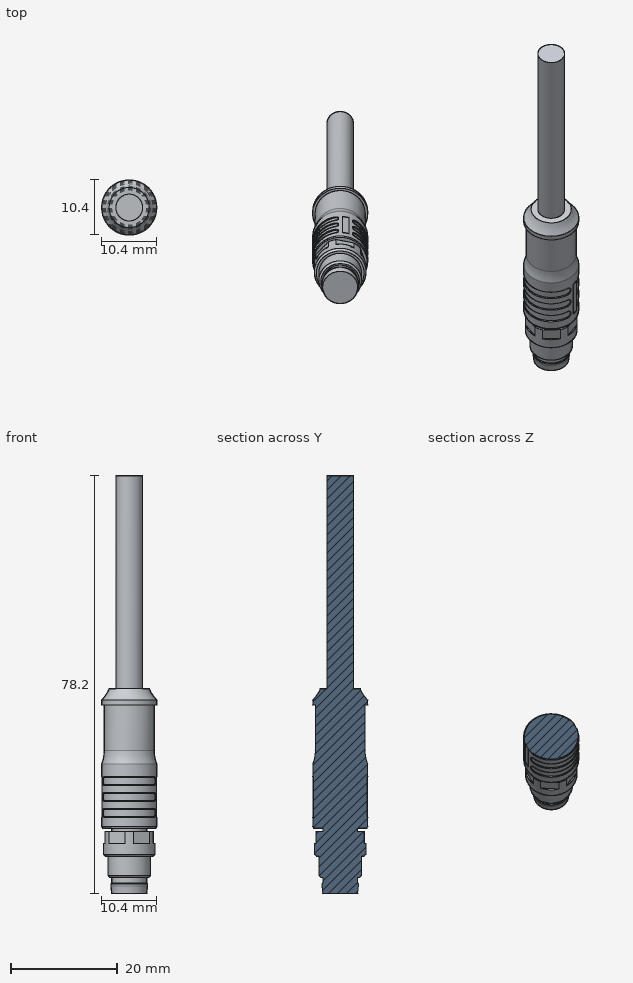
import cadquery as cq
import math

total_length = 78.2

tip_radius = 3.45
tip_taper = 0.15
tip_taper_height = 1.4
tip_lip_height = 1.8
tip_lip_chamfer = 0.15
neck_radius = 3.3
sleeve_radius = 4.0
sleeve_bottom = 3.0
sleeve_chamfer = 0.4

nut_radius = 4.85
nut_bottom = 6.95
nut_chamfer = 0.4
nut_top = 11.65
flat_count = 6
flat_bottom = 9.4
flat_distance = 4.5

grip_radius = 5.2
grip_bottom = 12.2
grip_edge_height = 0.3
grip_edge_inset = 0.15
grip_top = 24.25
barrel_radius = 4.7
barrel_bottom = 26.75
barrel_top = 35.3
collar_shoulder = 36.2
collar_top = 38.3
collar_top_radius = 3.75
collar_flare_sag = 0.12

cable_radius = 2.5

groove_count = 3
groove_height = 1.65
groove_pitch = 3.0
groove_depth = 0.15
groove_wall_run = 0.15
groove_end_gap = 1.3
top_groove_middle = 21.0
recess_width = 1.25
recess_depth = 0.1

cut_margin = 0.8


def revolve_body():
    """Turn the whole connector from its half profile (radius, height)."""
    flare_height = barrel_bottom - grip_top
    flare_step = grip_radius - barrel_radius
    flare_radius = (flare_height**2 + flare_step**2) / (2 * flare_step)
    flare_middle = (
        barrel_radius + flare_radius - math.sqrt(flare_radius**2 - (flare_height / 2) ** 2),
        (grip_top + barrel_bottom) / 2,
    )

    slope_run = grip_radius - collar_top_radius
    slope_rise = collar_top - collar_shoulder
    slope_length = math.hypot(slope_run, slope_rise)
    collar_middle = (
        (grip_radius + collar_top_radius) / 2 - collar_flare_sag * slope_rise / slope_length,
        (collar_shoulder + collar_top) / 2 - collar_flare_sag * slope_run / slope_length,
    )

    profile = (
        cq.Workplane("XZ")
        .lineTo(tip_radius - tip_taper, 0)
        .lineTo(tip_radius, tip_taper_height)
        .lineTo(tip_radius, tip_lip_height)
        .lineTo(neck_radius, tip_lip_height + tip_lip_chamfer)
        .lineTo(neck_radius, sleeve_bottom)
        .lineTo(sleeve_radius - sleeve_chamfer, sleeve_bottom)
        .lineTo(sleeve_radius, sleeve_bottom + sleeve_chamfer)
        .lineTo(sleeve_radius, nut_bottom)
        .lineTo(nut_radius - nut_chamfer, nut_bottom)
        .lineTo(nut_radius, nut_bottom + nut_chamfer)
        .lineTo(nut_radius, nut_top)
        .lineTo(neck_radius, nut_top)
        .lineTo(neck_radius, grip_bottom)
        .lineTo(grip_radius - grip_edge_inset, grip_bottom)
        .lineTo(grip_radius, grip_bottom + grip_edge_height)
        .lineTo(grip_radius, grip_top)
        .threePointArc(flare_middle, (barrel_radius, barrel_bottom))
        .lineTo(barrel_radius, barrel_top)
        .lineTo(grip_radius, barrel_top)
        .lineTo(grip_radius, collar_shoulder)
        .threePointArc(collar_middle, (collar_top_radius, collar_top))
        .lineTo(cable_radius, collar_top)
        .lineTo(cable_radius, total_length)
        .lineTo(0, total_length)
        .close()
    )
    return profile.revolve(360, (0, 0, 0), (0, 1, 0))


def wrench_flats():
    """Material outside the nut's flats, which run from the nut's top part way down."""
    flat_height = nut_top - flat_bottom
    hexagon_diameter = 2 * flat_distance / math.cos(math.pi / flat_count)
    band = (
        cq.Workplane("XY")
        .workplane(offset=flat_bottom)
        .circle(nut_radius + cut_margin)
        .extrude(flat_height)
    )
    hexagon = (
        cq.Workplane("XY")
        .workplane(offset=flat_bottom)
        .transformed(rotate=(0, 0, 180 / flat_count))
        .polygon(flat_count, hexagon_diameter)
        .extrude(flat_height)
    )
    return band.cut(hexagon)


def finger_grooves(middle):
    """A pair of grooves at one height, on the -Y and +Y sides, with rounded ends."""
    floor_radius = grip_radius - groove_depth
    outer_radius = grip_radius + cut_margin
    half_mouth = groove_height / 2
    half_floor = half_mouth - groove_wall_run
    ring = (
        cq.Workplane("XZ")
        .moveTo(floor_radius, middle - half_floor)
        .lineTo(grip_radius, middle - half_mouth)
        .lineTo(outer_radius, middle - half_mouth)
        .lineTo(outer_radius, middle + half_mouth)
        .lineTo(grip_radius, middle + half_mouth)
        .lineTo(floor_radius, middle + half_floor)
        .close()
        .revolve(360, (0, 0, 0), (0, 1, 0))
    )
    slot_length = 2 * outer_radius
    slot_center = groove_end_gap + slot_length / 2
    slots = (
        cq.Workplane("YZ")
        .pushPoints([(-slot_center, middle), (slot_center, middle)])
        .slot2D(slot_length, groove_height)
        .extrude(outer_radius, both=True)
    )
    return ring.intersect(slots)


def side_recesses():
    """Shallow flat recesses on the -X and +X sides, as tall as the stack of grooves."""
    recess_height = (groove_count - 1) * groove_pitch + groove_height
    recess_middle = top_groove_middle - (groove_count - 1) * groove_pitch / 2
    reach = recess_depth + cut_margin
    offset = grip_radius - recess_depth + reach / 2
    return (
        cq.Workplane("XY")
        .workplane(offset=recess_middle)
        .pushPoints([(-offset, 0), (offset, 0)])
        .box(reach, recess_width, recess_height)
    )


result = revolve_body().cut(wrench_flats())
for index in range(groove_count):
    result = result.cut(finger_grooves(top_groove_middle - index * groove_pitch))
result = result.cut(side_recesses())